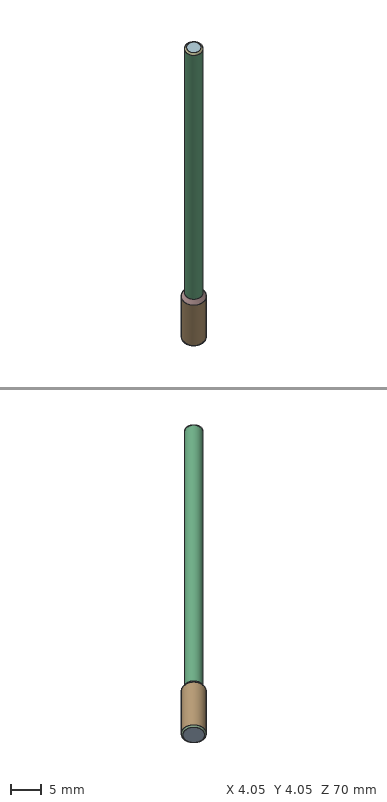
import cadquery as cq

total_length = 70.0
shank_diameter = 3.0
shank_chamfer_width = 0.35
shank_chamfer_height = 0.3
head_diameter = 4.05
head_length = 10.1
head_chamfer = 0.3
shoulder_height = 0.85

shank_radius = shank_diameter / 2
head_radius = head_diameter / 2


def turned(profile):
    """Revolve a closed (radius, height) profile about the Z axis."""
    return cq.Workplane("XZ").polyline(profile).close().revolve(360, (0, 0), (0, 1))


def make_head():
    """Cylinder with a chamfered lower edge."""
    return turned([
        (0, 0),
        (head_radius - head_chamfer, 0),
        (head_radius, head_chamfer),
        (head_radius, head_length),
        (0, head_length),
    ])


def make_shank():
    """Slim rod with a conical shoulder at its foot and a chamfered upper end."""
    return turned([
        (0, head_length),
        (head_radius, head_length),
        (shank_radius, head_length + shoulder_height),
        (shank_radius, total_length - shank_chamfer_height),
        (shank_radius - shank_chamfer_width, total_length),
        (0, total_length),
    ])


head = make_head()
shank = make_shank()

result = cq.Compound.makeCompound([head.val(), shank.val()])